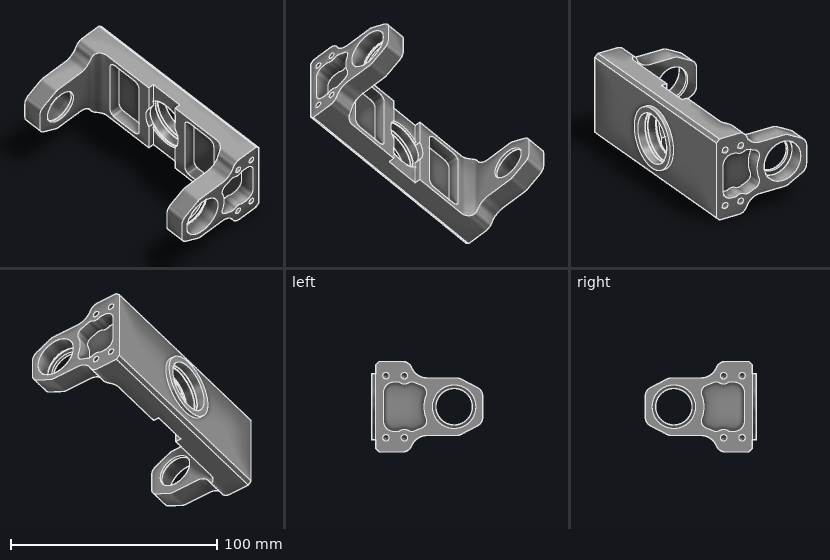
import cadquery as cq
import math

length = 109.0
height = 44.0
arm_reach = 52.0
bridge_thickness = 12.3
arm_thickness = 10.5
inner_corner_radius = 6.0
back_chamfer = 1.7

neck_height = 28.0
tip_height = 15.9
taper_start = 40.3
neck_start = 24.9
shoulder_radius = 5.0
neck_blend_radius = 8.0
arm_corner_radius = 5.0

pivot_distance = 38.0
pivot_seat_diameter = 21.0
pivot_hole_diameter = 17.5
pivot_lip = 1.5
pivot_undercut_diameter = 22.5
pivot_undercut_width = 1.0

side_pocket_depth = 8.0
side_pocket_height = 23.9
side_pocket_start = 3.8
side_pocket_taper_start = 18.3
side_pocket_taper_angle = 22.0
side_pocket_end = 28.3
pivot_wall_radius = 14.6
screw_boss_radius = 4.0
side_pocket_back_radius = 5.0
side_pocket_boss_back_blend = 1.0
side_pocket_boss_front_blend = 3.0
side_pocket_front_radius = 3.7
screw_distances = (5.0, 14.0)
screw_spacing_z = 30.1
screw_hole_diameter = 3.2
screw_hole_depth = 8.0
drill_point_angle = 118.0

slot_width = 18.2
slot_depth = 3.0
front_pocket_width = 20.1
front_pocket_height = 38.2
front_pocket_depth = 6.0
front_pocket_radius = 3.5
front_pocket_offset = 25.9

spigot_diameter = 32.0
spigot_height = 2.0
bore_diameter = 25.7
front_hole_diameter = 22.5
ring_groove_diameter = 26.7
ring_groove_width = 1.5
undercut_diameter = 27.1
undercut_width = 1.0
seat_width = 4.4

slot_floor = bridge_thickness - slot_depth
half_length = length / 2


def cylinder_along_y(diameter, start, end):
    """Cylinder about the central bore axis, between two distances from the back face."""
    return cq.Workplane("XZ", origin=(0, -start, 0)).circle(diameter / 2).extrude(end - start)


def side_plane(x):
    """Plane at x whose local axes are distance from the back face and height; normal is -X."""
    return cq.Workplane(cq.Plane(origin=(x, 0, 0), xDir=(0, -1, 0), normal=(-1, 0, 0)))


def side_profile():
    """Side outline extruded over the full length."""
    half_height = height / 2
    half_neck = neck_height / 2
    half_tip = tip_height / 2

    radius_sum = shoulder_radius + neck_blend_radius
    centre_rise = half_neck + neck_blend_radius - (half_height - shoulder_radius)
    centre_run = math.sqrt(radius_sum**2 - centre_rise**2)
    shoulder_start = neck_start - centre_run
    share = shoulder_radius / radius_sum
    blend_point = (
        shoulder_start + share * centre_run,
        half_height - shoulder_radius + share * centre_rise,
    )

    def mirrored(point):
        return (point[0], -point[1])

    def arc_middle(centre, radius, start_angle, end_angle):
        angle = (start_angle + end_angle) / 2
        return (centre[0] + radius * math.cos(angle), centre[1] + radius * math.sin(angle))

    rise_angle = math.atan2(centre_rise, centre_run)
    shoulder_centre = (shoulder_start, half_height - shoulder_radius)
    neck_centre = (neck_start, half_neck + neck_blend_radius)
    shoulder_middle = arc_middle(shoulder_centre, shoulder_radius, math.pi / 2, rise_angle)
    neck_middle = arc_middle(neck_centre, neck_blend_radius, math.pi + rise_angle, 1.5 * math.pi)

    body = (
        side_plane(half_length)
        .moveTo(0, half_height - back_chamfer)
        .lineTo(back_chamfer, half_height)
        .lineTo(shoulder_start, half_height)
        .threePointArc(shoulder_middle, blend_point)
        .threePointArc(neck_middle, (neck_start, half_neck))
        .lineTo(taper_start, half_neck)
        .lineTo(arm_reach, half_tip)
        .lineTo(arm_reach, -half_tip)
        .lineTo(taper_start, -half_neck)
        .lineTo(neck_start, -half_neck)
        .threePointArc(mirrored(neck_middle), mirrored(blend_point))
        .threePointArc(mirrored(shoulder_middle), (shoulder_start, -half_height))
        .lineTo(back_chamfer, -half_height)
        .lineTo(0, back_chamfer - half_height)
        .close()
        .extrude(length)
    )
    neck_middle_distance = (neck_start + taper_start) / 2
    arm_corners = cq.selectors.BoxSelector(
        (-length, -length, -height), (length, -neck_middle_distance, height)
    )
    return body.edges("|X").edges(arm_corners).fillet(arm_corner_radius)


def gap_between_arms():
    """Open space between the arms, rounded where the arms meet the bridge."""
    gap_depth = 2 * arm_reach
    gap = cq.Workplane("XY").box(length - 2 * arm_thickness, gap_depth, height)
    gap = gap.edges("|Z and >Y").fillet(inner_corner_radius)
    return gap.translate((0, -bridge_thickness - gap_depth / 2, 0))


def front_cuts():
    """Central slot and the two rounded pockets in the front of the bridge."""
    slot = cq.Workplane("XY").box(slot_width, 2 * slot_depth, height)
    pocket = cq.Workplane("XY").box(front_pocket_width, 2 * front_pocket_depth, front_pocket_height)
    pocket = pocket.edges("|Y").fillet(front_pocket_radius)
    cuts = slot
    for side in (-1, 1):
        cuts = cuts.union(pocket.translate((side * front_pocket_offset, 0, 0)))
    return cuts.translate((0, -bridge_thickness, 0))


def central_bore():
    """Bearing bore from the back, with a ring groove, an undercut and a smaller front hole."""
    undercut_start = slot_floor - undercut_width
    groove_end = undercut_start - seat_width
    bore = cylinder_along_y(bore_diameter, -spigot_height, slot_floor)
    bore = bore.union(cylinder_along_y(undercut_diameter, undercut_start, slot_floor))
    groove_start = groove_end - ring_groove_width
    bore = bore.union(cylinder_along_y(ring_groove_diameter, groove_start, groove_end))
    return bore.union(cylinder_along_y(front_hole_diameter, slot_floor, bridge_thickness))


def side_pocket():
    """Pocket in the -X arm face, curving around the screw holes and the pivot bore."""
    half_pocket = side_pocket_height / 2
    boss_distance = screw_distances[1]
    slope = math.tan(math.radians(side_pocket_taper_angle))

    def taper_height(distance):
        return half_pocket - slope * (distance - side_pocket_taper_start)

    plane = side_plane(side_pocket_depth - half_length)
    pocket = (
        plane.moveTo(side_pocket_start, half_pocket)
        .lineTo(boss_distance, half_pocket)
        .lineTo(boss_distance, taper_height(boss_distance))
        .lineTo(side_pocket_end, taper_height(side_pocket_end))
        .lineTo(side_pocket_end, -taper_height(side_pocket_end))
        .lineTo(boss_distance, -taper_height(boss_distance))
        .lineTo(boss_distance, -half_pocket)
        .lineTo(side_pocket_start, -half_pocket)
        .close()
        .extrude(side_pocket_depth)
        .cut(plane.center(pivot_distance, 0).circle(pivot_wall_radius).extrude(side_pocket_depth))
    )
    pocket = pocket.edges("|X and >Y").fillet(side_pocket_back_radius)
    pocket = pocket.edges("|X and <Y").fillet(side_pocket_front_radius)
    bosses = (
        plane.pushPoints([(boss_distance, side * screw_spacing_z / 2) for side in (-1, 1)])
        .circle(screw_boss_radius)
        .extrude(side_pocket_depth)
    )

    def boss_corners(start, end):
        return cq.selectors.BoxSelector((-length, -end, -height), (length, -start, height))

    back_corners = boss_corners(boss_distance - screw_boss_radius, boss_distance)
    front_corners = boss_corners(boss_distance, boss_distance + screw_boss_radius)
    pocket = pocket.cut(bosses)
    pocket = pocket.edges("|X").edges(back_corners).fillet(side_pocket_boss_back_blend)
    return pocket.edges("|X").edges(front_corners).fillet(side_pocket_boss_front_blend)


def screw_holes():
    """Four blind drilled holes in the -X arm face."""
    radius = screw_hole_diameter / 2
    point_length = radius / math.tan(math.radians(drill_point_angle / 2))
    drill = (
        cq.Workplane("XY")
        .lineTo(0, radius)
        .lineTo(screw_hole_depth, radius)
        .lineTo(screw_hole_depth + point_length, 0)
        .close()
        .revolve(360, (0, 0, 0), (1, 0, 0))
    )
    holes = cq.Workplane("XY")
    for distance in screw_distances:
        for side in (-1, 1):
            holes = holes.union(drill.translate((-half_length, -distance, side * screw_spacing_z / 2)))
    return holes


def pivot_bore():
    """Undercut bearing seat from the -X face, leaving a thin lip at the inner arm face."""
    seat_depth = arm_thickness - pivot_lip

    def cylinder(diameter, start, end):
        plane = side_plane(end - half_length).center(pivot_distance, 0)
        return plane.circle(diameter / 2).extrude(end - start)

    hole = cylinder(pivot_hole_diameter, 0, arm_thickness)
    seat = cylinder(pivot_seat_diameter, 0, seat_depth)
    undercut = cylinder(pivot_undercut_diameter, seat_depth - pivot_undercut_width, seat_depth)
    return hole.union(seat).union(undercut)


arm_cuts = side_pocket().union(screw_holes()).union(pivot_bore())

result = (
    side_profile()
    .cut(gap_between_arms())
    .union(cylinder_along_y(spigot_diameter, -spigot_height, 0))
    .cut(front_cuts())
    .cut(central_bore())
    .cut(arm_cuts)
    .cut(arm_cuts.mirror("YZ"))
)